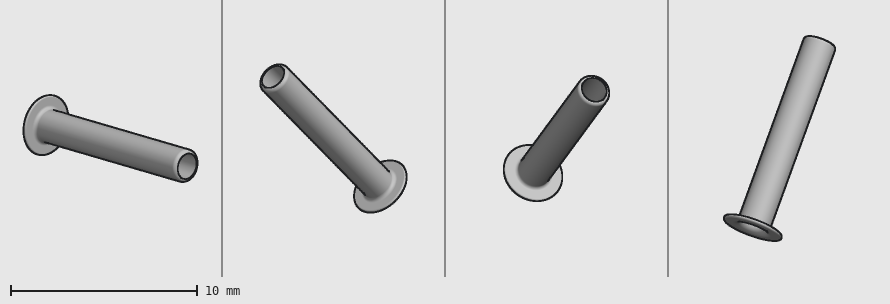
import cadquery as cq
import math

length = 11.0
flange_diameter = 3.3
tube_diameter = 1.8
bore_diameter = 1.4

flange_radius = flange_diameter / 2
tube_radius = tube_diameter / 2
bore_radius = bore_diameter / 2
wall = tube_radius - bore_radius

rim_radius = wall / 2
neck_radius = wall
mouth_radius = neck_radius + wall
tip_radius = wall

flare_center = (mouth_radius, bore_radius + mouth_radius)
diagonal = math.sqrt(0.5)


def flare_middle(radius):
    """Middle of a quarter arc about the flare center, facing the flange and the axis."""
    x, r = flare_center
    return (x - radius * diagonal, r - radius * diagonal)


tip_middle = (
    length - tip_radius + tip_radius * diagonal,
    tube_radius - tip_radius + tip_radius * diagonal,
)

result = (
    cq.Workplane("XY")
    .moveTo(0, flare_center[1])
    .lineTo(0, flange_radius - rim_radius)
    .threePointArc((rim_radius, flange_radius), (wall, flange_radius - rim_radius))
    .lineTo(wall, flare_center[1])
    .threePointArc(flare_middle(neck_radius), (flare_center[0], tube_radius))
    .lineTo(length - tip_radius, tube_radius)
    .threePointArc(tip_middle, (length, tube_radius - tip_radius))
    .lineTo(mouth_radius, bore_radius)
    .threePointArc(flare_middle(mouth_radius), (0, flare_center[1]))
    .close()
    .revolve(360, (0, 0, 0), (1, 0, 0))
)